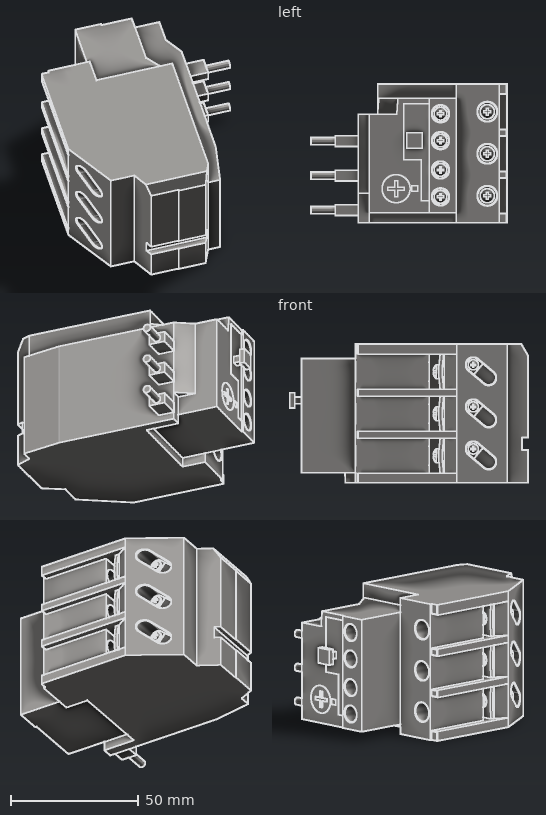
import cadquery as cq
import math


BODY_HEIGHT = 54.5
BODY_REAR = 50.8
SLAB_REAR = 58.5
BODY_END = 93.5
SLAB_END = 87.5

BUTTON_SIZE = 6.1
BUTTON_THICKNESS = 2.1
STEM_SIZE = 2.8
BUTTON_Y = 36.4
BUTTON_Z = 32.35

HOUSING_X = 5.2
HOUSING_FRONT = 19.9
HOUSING_BOTTOM = 3.9
HOUSING_TOP = 48.8
HOUSING_REAR = 43.3
HOUSING_BEND_X = 25.6
HOUSING_BACK_X = 35.5
WALL_DRAFT = 0.45
STRIP_RAISE = 0.6
STRIP_X = HOUSING_X - STRIP_RAISE
STRIP_REAR = 30.6
MARK_DEPTH = 0.1

SLAB_TOP = 42.6
SLAB_STEP_Y = 54.1
SLAB_RAMP_START = 14.5
SLAB_RAMP_END = 21.8
SLAB_TAPER_X = 71.2
SLAB_TAPER_Y = 55.7
SLAB_NOTCH_TOP = 11.7

BODY_X = 25.8
RIB_X = 26.6
RECESS_Y = 3.05
SLOPE_START_X = 65.6
SLOPE_END_X = 85.3
SLOPE_END_Y = 11.8
CLIP_Y = 21.3
END_FRONT = 25.9
END_REAR = 48.1
END_CHAMFER_X = 2.8
END_CHAMFER_Z = 4.8
END_PAD_RAISE = 0.2
END_PAD_FRONT = 37.1
END_NOTCH_DEPTH = 2.5
END_NOTCH_BOTTOM = 12.9
END_NOTCH_TOP = 17.75

POLE_PITCH = 16.5
LOWEST_POLE_Z = 10.6
POLES_Z = [LOWEST_POLE_Z + i * POLE_PITCH for i in range(3)]
BAY_HEIGHT = 13.6
CHAMBER_X = 54.75
CHAMBER_END = 60.75
CHAMBER_FLOOR = 12.5
CLAMP_X = 58.5
CLAMP_THICKNESS = 1.4
CLAMP_BOW = 0.55
CLAMP_SHANK_DIAMETER = 4
TERMINAL_Y = 7.8
TERMINAL_HOLE_DIAMETER = 7.5
TERMINAL_SCREW_DIAMETER = 5.6
TERMINAL_SCREW_HEIGHT = 2.2

AUX_Y = 26.15
AUX_ZS = [10.2, 20.75, 32.25, 42.8]
AUX_HOLE_DIAMETER = 6.5
AUX_HOLE_DEPTH = 12
AUX_SCREW_DIAMETER = 5
AUX_SCREW_HEIGHT = 2

SLOT_X = 72.05
SLOT_Z_ABOVE_POLE = 2.7
SLOT_DIAMETER = 5.6
SLOT_SPACING = 7.9
SLOT_ANGLE = -40
SLOT_FLOOR = 13
SLOT_SHELF_RAISE = 0.1
SLOT_SHELF_START = 2.65
SLOT_SCREW_DIAMETER = 4
SLOT_SCREW_HEIGHT = 1.6

RIM_SHARE = 0.4
CROSS_LENGTH_SHARE = 0.5
CROSS_WIDTH_SHARE = 0.14
CROSS_DEPTH_SHARE = 0.4

PIN_DIAMETER = 3
PIN_TIP_Y = 77
PIN_X = 24.95
PIN_BLOCK_WIDTH = 6.6
PIN_BLOCK_HEIGHT = 4.25
PIN_BLOCK_LENGTH = 9
PIN_PITCH = 13.53
LOWEST_PIN_Z = 5
PINS_Z = [LOWEST_PIN_Z + i * PIN_PITCH for i in range(3)]

DIAL_DIAMETER = 11
DIAL_Y = 43.55
DIAL_Z = 13.4
DIAL_CROSS_LENGTH = 6.4
DIAL_CROSS_WIDTH = 1.2
DIAL_CROSS_DEPTH = 0.5
TEST_SIZE = 2.2
TEST_Y = 36.25
LABEL_REAR = 40.6
LABEL_TOP = 46.8
LABEL_STEP_Y = 33.6
LABEL_STEP_Z = 24.8
LABEL_BOTTOM = 8.7

RIM_CHAMFER = 0.25
RIB_CHAMFER = 0.3
TOLERANCE = 0.01


def block(x0, x1, y0, y1, z0, z1):
    """Box between opposite corners."""
    return cq.Workplane("XY").box(x1 - x0, y1 - y0, z1 - z0, centered=False).translate((x0, y0, z0))


def prism(points, z0, z1):
    """Upright prism on an XY outline."""
    return cq.Workplane("XY").workplane(offset=z0).polyline(points).close().extrude(z1 - z0)


def rod(diameter, x0, x1, y, z):
    """Cylinder along X."""
    return cq.Workplane("YZ", origin=(x0, y, z)).circle(diameter / 2).extrude(x1 - x0)


def screw_head(diameter, height):
    """Domed head with a cross recess, standing on the origin and facing +Z."""
    radius = diameter / 2
    rim = RIM_SHARE * height
    dome = height - rim
    dome_radius = (radius**2 + dome**2) / (2 * dome)
    shoulder = radius / 2
    shoulder_z = height - dome_radius + math.sqrt(dome_radius**2 - shoulder**2)
    head = (
        cq.Workplane("XZ")
        .lineTo(radius, 0)
        .lineTo(radius, rim)
        .threePointArc((shoulder, shoulder_z), (0, height))
        .close()
        .revolve(360, (0, 0, 0), (0, 1, 0))
    )
    length = CROSS_LENGTH_SHARE * diameter
    width = CROSS_WIDTH_SHARE * diameter
    floor = height * (1 - CROSS_DEPTH_SHARE)
    for angle in (0, 90):
        arm = cq.Workplane("XY").workplane(offset=floor).rect(length, width).extrude(height)
        head = head.cut(arm.rotate((0, 0, 0), (0, 0, 1), angle))
    return head


def screw_facing_left(diameter, height, x, y, z):
    """Screw head with its base at x, facing -X."""
    head = screw_head(diameter, height).rotate((0, 0, 0), (0, 1, 0), -90)
    return head.translate((x, y, z))


def screw_facing_front(diameter, height, x, y, z):
    """Screw head with its base at y, facing -Y."""
    head = screw_head(diameter, height).rotate((0, 0, 0), (1, 0, 0), 90)
    return head.translate((x, y, z))


def main_body():
    outline = [
        (BODY_X, RECESS_Y),
        (RIB_X, RECESS_Y),
        (RIB_X, 0),
        (SLOPE_START_X, 0),
        (SLOPE_END_X, SLOPE_END_Y),
        (SLOPE_END_X, CLIP_Y),
        (BODY_END, END_FRONT),
        (BODY_END, END_REAR),
        (SLAB_END, BODY_REAR),
        (HOUSING_BACK_X, BODY_REAR),
        (HOUSING_BACK_X, HOUSING_FRONT),
        (BODY_X, HOUSING_FRONT),
    ]
    body = prism(outline, 0, BODY_HEIGHT)
    pad = block(BODY_END, BODY_END + END_PAD_RAISE, END_PAD_FRONT, END_REAR, 0, BODY_HEIGHT)
    body = body.union(pad)
    outer_x = BODY_END + END_PAD_RAISE
    corner = (
        cq.Workplane("XZ")
        .moveTo(outer_x - END_CHAMFER_X, BODY_HEIGHT)
        .lineTo(outer_x, BODY_HEIGHT)
        .lineTo(outer_x, BODY_HEIGHT - END_CHAMFER_Z)
        .close()
        .extrude(-SLAB_REAR)
    )
    notch = block(
        outer_x - END_NOTCH_DEPTH, outer_x, CLIP_Y, BODY_REAR, END_NOTCH_BOTTOM, END_NOTCH_TOP
    )
    return body.cut(corner).cut(notch)


def rear_slab():
    outline = [
        (HOUSING_X, HOUSING_FRONT),
        (HOUSING_BACK_X, HOUSING_FRONT),
        (HOUSING_BACK_X, BODY_REAR),
        (SLAB_END, BODY_REAR),
        (SLAB_END, SLAB_TAPER_Y),
        (SLAB_TAPER_X, SLAB_REAR),
        (SLAB_RAMP_END, SLAB_REAR),
        (SLAB_RAMP_START, SLAB_STEP_Y),
        (HOUSING_X, SLAB_STEP_Y),
    ]
    slab = prism(outline, 0, SLAB_TOP)
    foot_space = block(HOUSING_X, HOUSING_BACK_X, HOUSING_FRONT, SLAB_STEP_Y, 0, HOUSING_BOTTOM)
    corner_notch = block(HOUSING_X, SLAB_RAMP_END, SLAB_STEP_Y, SLAB_REAR, 0, SLAB_NOTCH_TOP)
    return slab.cut(foot_space).cut(corner_notch)


def housing_outline(inset):
    """Outline of the control housing above the slab, its rear wall moved forward by inset."""
    return [
        (HOUSING_X, HOUSING_FRONT),
        (HOUSING_BACK_X, HOUSING_FRONT),
        (HOUSING_BACK_X, BODY_REAR - inset),
        (HOUSING_BEND_X, HOUSING_REAR - inset),
        (HOUSING_X, HOUSING_REAR - inset),
    ]


def control_housing():
    upper = (
        cq.Workplane("XY")
        .workplane(offset=SLAB_TOP)
        .polyline(housing_outline(0))
        .close()
        .workplane(offset=HOUSING_TOP - SLAB_TOP)
        .polyline(housing_outline(WALL_DRAFT))
        .close()
        .loft(ruled=True)
    )
    strip = block(
        STRIP_X, HOUSING_X, HOUSING_FRONT, STRIP_REAR, HOUSING_BOTTOM, HOUSING_TOP
    )
    return upper.union(strip)


def reset_button():
    half_head = BUTTON_SIZE / 2
    half_stem = STEM_SIZE / 2
    head = block(
        0,
        BUTTON_THICKNESS,
        BUTTON_Y - half_head,
        BUTTON_Y + half_head,
        BUTTON_Z - half_head,
        BUTTON_Z + half_head,
    )
    stem = block(
        BUTTON_THICKNESS,
        HOUSING_X + MARK_DEPTH,
        BUTTON_Y - half_stem,
        BUTTON_Y + half_stem,
        BUTTON_Z - half_stem,
        BUTTON_Z + half_stem,
    )
    return head.union(stem)


def control_markings():
    """Shallow recesses of the control face: label field, dial with its cross and test window."""
    face = cq.Workplane("YZ", origin=(HOUSING_X, 0, 0))
    label = [
        (STRIP_REAR, LABEL_BOTTOM),
        (LABEL_STEP_Y, LABEL_BOTTOM),
        (LABEL_STEP_Y, LABEL_STEP_Z),
        (LABEL_REAR, LABEL_STEP_Z),
        (LABEL_REAR, LABEL_TOP),
        (STRIP_REAR, LABEL_TOP),
    ]
    marks = face.polyline(label).close().extrude(MARK_DEPTH)
    marks = marks.union(face.center(DIAL_Y, DIAL_Z).circle(DIAL_DIAMETER / 2).extrude(MARK_DEPTH))
    for size in ((DIAL_CROSS_LENGTH, DIAL_CROSS_WIDTH), (DIAL_CROSS_WIDTH, DIAL_CROSS_LENGTH)):
        marks = marks.union(face.center(DIAL_Y, DIAL_Z).rect(*size).extrude(DIAL_CROSS_DEPTH))
    return marks.union(face.center(TEST_Y, DIAL_Z).rect(TEST_SIZE, TEST_SIZE).extrude(MARK_DEPTH))


def terminal_bay(z):
    """Space of one pole: shallow bay, slanted lead-in, screw chamber and access hole."""
    outline = [
        (BODY_X, 0),
        (SLOPE_START_X, 0),
        (CHAMBER_END, RECESS_Y),
        (CHAMBER_END, CHAMBER_FLOOR),
        (CHAMBER_X, CHAMBER_FLOOR),
        (CHAMBER_X, RECESS_Y),
        (BODY_X, RECESS_Y),
    ]
    bay = prism(outline, z - BAY_HEIGHT / 2, z + BAY_HEIGHT / 2)
    return bay.union(rod(TERMINAL_HOLE_DIAMETER, BODY_X, CHAMBER_X, TERMINAL_Y, z))


def terminal_clamp(z):
    """Bowed clamp plate with its screw."""
    half = BAY_HEIGHT / 2
    back = CLAMP_X + CLAMP_THICKNESS
    plate = (
        cq.Workplane("XZ", origin=(0, RECESS_Y, z))
        .moveTo(CLAMP_X + CLAMP_BOW, -half)
        .threePointArc((CLAMP_X, 0), (CLAMP_X + CLAMP_BOW, half))
        .lineTo(back + CLAMP_BOW, half)
        .threePointArc((back, 0), (back + CLAMP_BOW, -half))
        .close()
        .extrude(RECESS_Y - CHAMBER_FLOOR)
    )
    shank = rod(CLAMP_SHANK_DIAMETER, CLAMP_X, CHAMBER_END, TERMINAL_Y, z)
    head = screw_facing_left(
        TERMINAL_SCREW_DIAMETER, TERMINAL_SCREW_HEIGHT, CLAMP_X, TERMINAL_Y, z
    )
    return plate.union(shank).union(head)


def slanted_slot(z):
    """Blind slot along Y with a shelf beside its screw."""
    deep = (
        cq.Workplane("XZ")
        .center(SLOT_SPACING / 2, 0)
        .slot2D(SLOT_SPACING + SLOT_DIAMETER, SLOT_DIAMETER)
        .extrude(-SLOT_FLOOR)
    )
    shelf = block(
        SLOT_SHELF_START,
        SLOT_SPACING + SLOT_DIAMETER,
        SLOT_FLOOR - SLOT_SHELF_RAISE,
        SLOT_FLOOR,
        -SLOT_DIAMETER,
        SLOT_DIAMETER,
    )
    slot = deep.cut(shelf).rotate((0, 0, 0), (0, 1, 0), -SLOT_ANGLE)
    return slot.translate((SLOT_X, 0, z))


def pin(z):
    """Round connection pin on its rectangular block."""
    base = block(
        PIN_X - PIN_BLOCK_WIDTH / 2,
        PIN_X + PIN_BLOCK_WIDTH / 2,
        SLAB_REAR,
        SLAB_REAR + PIN_BLOCK_LENGTH,
        z - PIN_BLOCK_HEIGHT / 2,
        z + PIN_BLOCK_HEIGHT / 2,
    )
    shaft = cq.Workplane("XZ", origin=(PIN_X, SLAB_REAR, z)).circle(PIN_DIAMETER / 2)
    return base.union(shaft.extrude(SLAB_REAR - PIN_TIP_Y))


def chamfer_rib_ends(body):
    """Chamfer the front, top and bottom edges of the rib ends, leaving the outer sides sharp."""
    rib_end_edges = cq.selectors.BoxSelector(
        (RIB_X - TOLERANCE, -TOLERANCE, TOLERANCE),
        (RIB_X + TOLERANCE, RECESS_Y - TOLERANCE, BODY_HEIGHT - TOLERANCE),
    )
    return body.edges(rib_end_edges).chamfer(RIB_CHAMFER)


def chamfer_rims(body, face_centre):
    """Chamfer every opening in the face whose centre is nearest to the given point."""
    face = body.faces(cq.selectors.NearestToPointSelector(face_centre)).val()
    rims = [edge for wire in face.innerWires() for edge in wire.Edges()]
    return body.newObject(rims).chamfer(RIM_CHAMFER)


def aux_terminal_holes():
    holes = cq.Workplane("YZ", origin=(STRIP_X, 0, 0)).pushPoints([(AUX_Y, z) for z in AUX_ZS])
    return holes.circle(AUX_HOLE_DIAMETER / 2).extrude(AUX_HOLE_DEPTH)


def slot_screw(z):
    """Screw on the floor of a slanted slot."""
    return screw_facing_front(
        SLOT_SCREW_DIAMETER, SLOT_SCREW_HEIGHT, SLOT_X, SLOT_FLOOR, z + SLOT_Z_ABOVE_POLE
    )


def aux_screw(z):
    """Screw on the floor of an auxiliary terminal hole."""
    floor = STRIP_X + AUX_HOLE_DEPTH
    return screw_facing_left(AUX_SCREW_DIAMETER, AUX_SCREW_HEIGHT, floor, AUX_Y, z)


result = main_body()
for pole_z in POLES_Z:
    result = result.cut(terminal_bay(pole_z))
result = chamfer_rib_ends(result)
for pole_z in POLES_Z:
    result = result.cut(slanted_slot(pole_z + SLOT_Z_ABOVE_POLE))
result = result.union(rear_slab()).union(control_housing())
result = result.cut(control_markings()).cut(aux_terminal_holes())

mid_height = BODY_HEIGHT / 2
slope_centre = ((SLOPE_START_X + SLOPE_END_X) / 2, SLOPE_END_Y / 2, mid_height)
terminal_face_centre = (BODY_X, (RECESS_Y + HOUSING_FRONT) / 2, mid_height)
strip_centre = (STRIP_X, (HOUSING_FRONT + STRIP_REAR) / 2, (HOUSING_BOTTOM + HOUSING_TOP) / 2)
for centre in (slope_centre, terminal_face_centre, strip_centre):
    result = chamfer_rims(result, centre)

result = result.union(reset_button())
for pole_z in POLES_Z:
    result = result.union(terminal_clamp(pole_z)).union(slot_screw(pole_z))
for aux_z in AUX_ZS:
    result = result.union(aux_screw(aux_z))
for pin_z in PINS_Z:
    result = result.union(pin(pin_z))